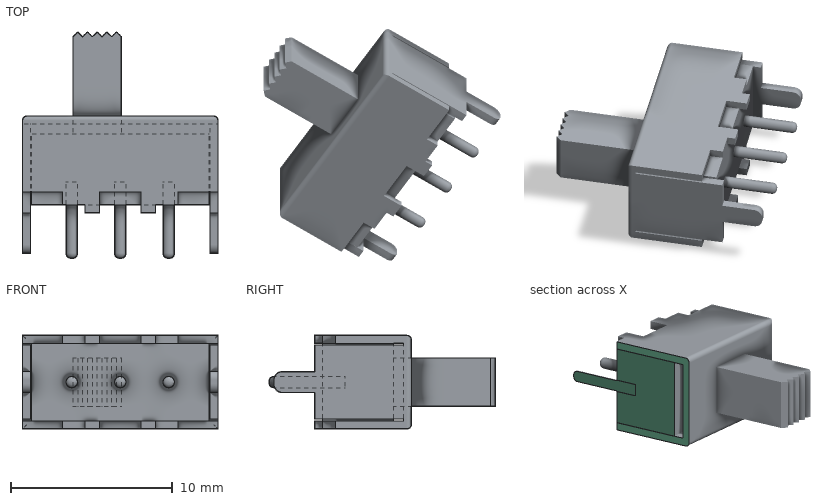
import cadquery as cq


overall_depth = 14.0

shell_length = 12.1
shell_width = 5.8
sheet = 0.5
bend_radius = 0.3
long_wall_end = 4.7
end_wall_end = 5.99
slit = 0.1

tongue_inner_x = 1.27
claw_outer_x = 2.18
tongue_outer_x = 3.55

leg_width = 1.3
leg_end = 8.5
leg_tip_radius = 0.5

base_top = 1.1
base_end = 5.5
base_side_gap = 0.05

knob_size = 3.0
knob_center_x = -1.43
knob_height = 5.2
tooth_count = 5
tooth_depth = 0.3

pin_count = 3
pin_pitch = 3.0
pin_diameter = 0.7
pin_tip_radius = 0.3
pin_end = overall_depth - knob_height
pin_insertion = 1.4

inner_length = shell_length - 2 * sheet
inner_width = shell_width - 2 * sheet
end_wall_width = inner_width - 2 * slit
base_length = inner_length - 2 * base_side_gap
pin_xs = [(i - (pin_count - 1) / 2) * pin_pitch for i in range(pin_count)]


def block(x_size, z_size, y_low, y_high, x=0.0, z=0.0):
    """Box centred at (x, z) that spans y_low to y_high."""
    return cq.Workplane("XY").box(x_size, y_high - y_low, z_size).translate((x, (y_low + y_high) / 2, z))


def make_long_wall(side):
    """Wall at +Z or -Z, with two stepped tongues on its lower edge."""
    z = side * (shell_width - sheet) / 2
    wall = block(shell_length, sheet, -long_wall_end, -sheet, z=z)
    for direction in (-1, 1):
        for outer_x, end in ((tongue_outer_x, base_end), (claw_outer_x, end_wall_end)):
            center_x = direction * (tongue_inner_x + outer_x) / 2
            wall = wall.union(block(outer_x - tongue_inner_x, sheet, -end, -sheet, center_x, z))
    return wall


def make_end_wall(side):
    """Wall at +X or -X, with a round-cornered mounting leg."""
    x = side * (shell_length - sheet) / 2
    wall = block(sheet, end_wall_width, -end_wall_end, -sheet, x)
    leg = block(sheet, leg_width, -leg_end, -sheet, x).edges("<Y and |X").fillet(leg_tip_radius)
    return wall.union(leg)


def make_shell():
    """Plate and four walls, with the upper edge rounded and a window for the knob."""
    shell = block(shell_length, shell_width, -sheet, 0).faces(">Y").edges().fillet(bend_radius)
    for side in (-1, 1):
        shell = shell.union(make_long_wall(side)).union(make_end_wall(side))
    window = block(knob_size, knob_size, -sheet, 0, knob_center_x)
    return shell.cut(window)


def make_knob():
    """Square bar with a saw-toothed tip, standing on the base."""
    left = knob_center_x - knob_size / 2
    pitch = knob_size / tooth_count
    valley_y = knob_height - tooth_depth
    outline = [(left, -base_top), (left, valley_y)]
    for i in range(tooth_count):
        outline.append((left + (i + 0.5) * pitch, knob_height))
        outline.append((left + (i + 1) * pitch, valley_y))
    outline.append((left + knob_size, -base_top))
    return cq.Workplane("XY").polyline(outline).close().extrude(knob_size / 2, both=True)


def make_pin(x):
    """Round pin along Y with a rounded free end."""
    length = pin_end - base_end + pin_insertion
    pin = cq.Workplane("XZ").circle(pin_diameter / 2).extrude(length)
    pin = pin.faces("<Y").edges().fillet(pin_tip_radius)
    return pin.translate((x, pin_insertion - base_end, 0))


def make_base(pins):
    """Insulating block and knob in one piece, with a blind hole for each pin."""
    base = block(base_length, inner_width, -base_end, -base_top).union(make_knob())
    for pin in pins:
        base = base.cut(pin)
    return base


shell = make_shell()
pins = [make_pin(x) for x in pin_xs]
base = make_base(pins)

result = cq.Compound.makeCompound([shell.val(), base.val(), *[pin.val() for pin in pins]])